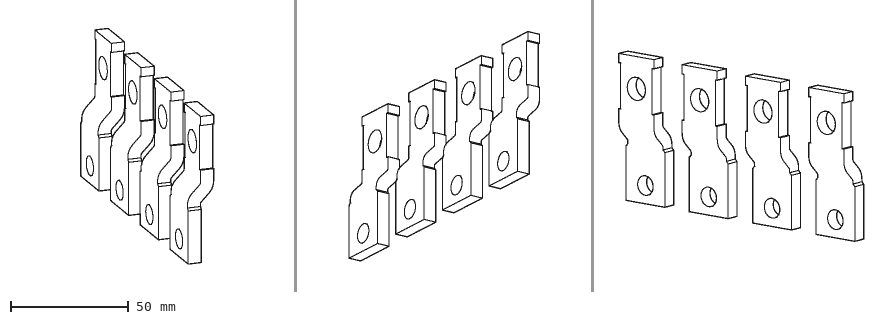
import cadquery as cq
import math

strap_count = 4
row_length = 126.5

strap_height = 65.0
strap_depth = 12.0
thickness = strap_depth / 2
foot_width = 21.5
neck_width = 19.5
pitch = (row_length - foot_width) / (strap_count - 1)

bend_angle = math.radians(45)
inner_radius = 1.5
outer_radius = inner_radius + thickness
lower_bend_height = 25.8
offset = strap_depth - thickness

shoulder_height = 23.8
shoulder_rise = (foot_width - neck_width) / 2

notched_width = 17.5
head_height = 4.0
notch_length = 20.0

upper_hole_diameter = 10.0
upper_hole_drop = head_height + notch_length / 2
lower_hole_diameter = 8.5
lower_hole_height = 8.0

arc_offset = (inner_radius + outer_radius) * (1 - math.cos(bend_angle))
slope_length = (offset - arc_offset) / math.sin(bend_angle)
bend_rise = (inner_radius + outer_radius) * math.sin(bend_angle) + slope_length * math.cos(bend_angle)
upper_bend_height = lower_bend_height + bend_rise


def arc_point(center, radius, angle):
    """Point in the YZ plane at an angle measured from the +Y direction."""
    return (center[0] + radius * math.cos(angle), center[1] + radius * math.sin(angle))


def bent_profile():
    """Side profile of the strap, extruded over the full foot width."""
    lower_center = (outer_radius, lower_bend_height)
    upper_center = (strap_depth - outer_radius, upper_bend_height)
    lower_mid = math.pi - bend_angle / 2
    lower_end = math.pi - bend_angle
    upper_mid = -bend_angle / 2
    upper_end = -bend_angle
    return (
        cq.Workplane("YZ")
        .moveTo(0, 0)
        .lineTo(0, lower_bend_height)
        .threePointArc(
            arc_point(lower_center, outer_radius, lower_mid),
            arc_point(lower_center, outer_radius, lower_end),
        )
        .lineTo(*arc_point(upper_center, inner_radius, upper_end))
        .threePointArc(
            arc_point(upper_center, inner_radius, upper_mid),
            (offset, upper_bend_height),
        )
        .lineTo(offset, strap_height)
        .lineTo(strap_depth, strap_height)
        .lineTo(strap_depth, upper_bend_height)
        .threePointArc(
            arc_point(upper_center, outer_radius, upper_mid),
            arc_point(upper_center, outer_radius, upper_end),
        )
        .lineTo(*arc_point(lower_center, inner_radius, lower_end))
        .threePointArc(
            arc_point(lower_center, inner_radius, lower_mid),
            (thickness, lower_bend_height),
        )
        .lineTo(thickness, 0)
        .close()
        .extrude(foot_width / 2, both=True)
    )


def front_outline():
    """Stepped outline of the strap, extruded through its whole depth."""
    head_bottom = strap_height - head_height
    notch_bottom = head_bottom - notch_length
    return (
        cq.Workplane("XZ")
        .moveTo(0, 0)
        .lineTo(foot_width / 2, 0)
        .lineTo(foot_width / 2, shoulder_height)
        .lineTo(neck_width / 2, shoulder_height + shoulder_rise)
        .lineTo(neck_width / 2, notch_bottom)
        .lineTo(notched_width / 2, notch_bottom)
        .lineTo(notched_width / 2, head_bottom)
        .lineTo(neck_width / 2, head_bottom)
        .lineTo(neck_width / 2, strap_height)
        .lineTo(0, strap_height)
        .mirrorY()
        .extrude(-strap_depth)
    )


def through_hole(diameter, height):
    """Cutter for a hole along Y on the strap's centerline."""
    return cq.Workplane("XZ").center(0, height).circle(diameter / 2).extrude(-strap_depth)


def make_strap(x_center):
    """Joggled strap with a hole in each leg."""
    strap = bent_profile().intersect(front_outline())
    strap = strap.cut(through_hole(upper_hole_diameter, strap_height - upper_hole_drop))
    strap = strap.cut(through_hole(lower_hole_diameter, lower_hole_height))
    return strap.translate((x_center, 0, 0)).solids()


straps = []
for index in range(strap_count):
    x_center = (index - (strap_count - 1) / 2) * pitch
    straps.append(make_strap(x_center))

result = cq.Compound.makeCompound([strap.val() for strap in straps])